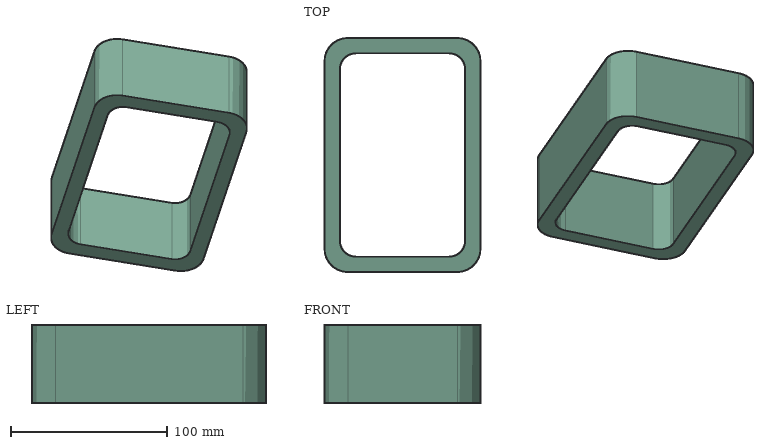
import cadquery as cq

width = 100.0
length = 150.0
height = 50.0

wall_thickness = 10.0
outer_corner_radius = 15.0
inner_corner_radius = 10.0


def rounded_block(size_x, size_y, corner_radius):
    """Full-height block, centred on the origin, with rounded vertical edges."""
    block = cq.Workplane("XY").box(size_x, size_y, height)
    return block.edges("|Z").fillet(corner_radius)


body = rounded_block(width, length, outer_corner_radius)

opening_width = width - 2 * wall_thickness
opening_length = length - 2 * wall_thickness
opening = rounded_block(opening_width, opening_length, inner_corner_radius)

result = body.cut(opening)